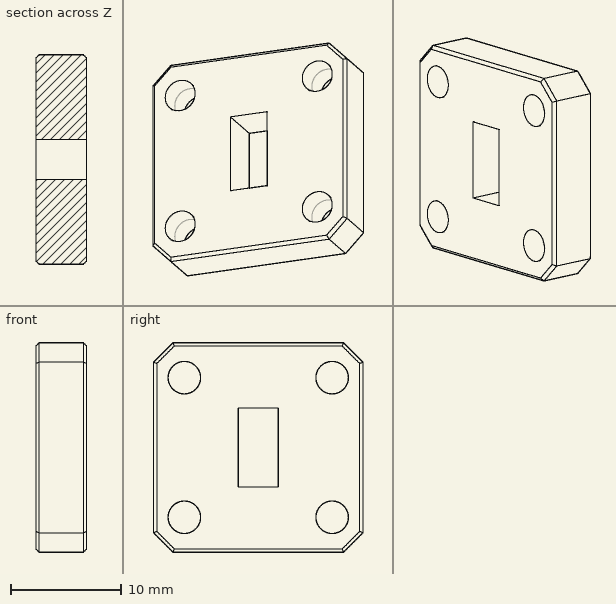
import cadquery as cq

side = 19.05
thickness = 4.63
corner_cut = 1.77
edge_chamfer = 0.3

window_width = 3.6
window_height = 7.16

hole_diameter = 2.93
hole_spacing_y = 13.43
hole_spacing_z = 12.69


def plate():
    """Square plate with cut corners and both face outlines chamfered."""
    body = cq.Workplane("XY").box(thickness, side, side)
    body = body.edges("|X").chamfer(corner_cut)
    return body.faces("<X or >X").edges().chamfer(edge_chamfer)


def window():
    """Cutter for the central opening through the full thickness."""
    return cq.Workplane("XY").box(thickness, window_width, window_height)


def bolt_holes():
    """Cutters for the four holes through the full thickness."""
    return (
        cq.Workplane("YZ")
        .rarray(hole_spacing_y, hole_spacing_z, 2, 2)
        .circle(hole_diameter / 2)
        .extrude(thickness / 2, both=True)
    )


result = plate().cut(window()).cut(bolt_holes())